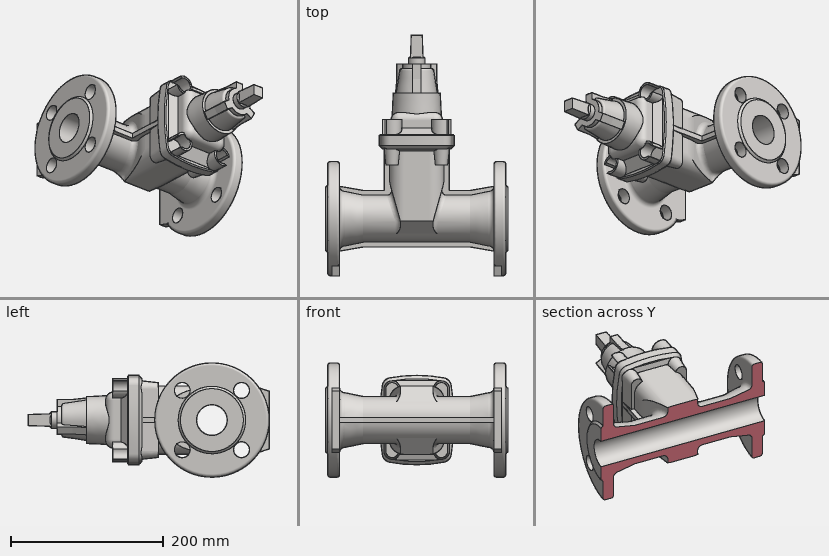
import cadquery as cq
import math


pick_margin = 0.3

overall_length = 240.0
bore_diameter = 39.8
pipe_radius = 31.0
hub_start = 69.8
hub_end = 94.5
hub_radius = 36.0
flange_diameter = 150.0
flange_radius = flange_diameter / 2
flange_inner_x = 101.0
flange_outer_x = 117.0
flange_edge_fillet = 3.8
hub_root_fillet = flange_inner_x - hub_end
raised_face_radius = 44.2
bolt_offset = 39.0
bolt_hole_diameter = 20.5

foot_bottom = 75.2
foot_half_width = 38.0
foot_shoulder_half_width = 42.5
foot_outer_x = 111.2

rib_thickness = 7.0
rib_height = 74.3
rib_half_height = rib_height / 2
rib_end_half_height = 42.7
rib_neck_half_width = 42.7

body_half_width = 36.0
body_half_depth = 45.0
body_flat_half_width = 16.7
body_corner_radius = body_half_width - body_flat_half_width
body_taper_top = 48.7
body_tip_y = -22.5
body_tip_half_width = 21.5
body_taper_blend = 47.5
body_tip_blend = 15.8
body_slope_start_y = -3.0
body_slope_depth = 20.5
body_root_fillet = 6.3

joint_bottom = 91.3
joint_top = 110.5
joint_half_width = 49.3
joint_half_depth = 58.8
joint_corner_x = 43.5
joint_corner_z = 53.7
joint_corner_fillet = 12.0
joint_lower_chamfer = 4.5
joint_upper_chamfer = 1.5
underside_drop = 2.5
underside_half_width = 27.0
underside_half_depth = 52.0

lug_x = 32.2
lug_bottom = 70.0
lug_bottom_width = 16.5
lug_bottom_length = 98.3
lug_widening = 2.37
web_half_depth = 41.7
boss_x = 32.5
boss_z = 41.7
boss_radius = 13.0
boss_top = 130.2
pocket_radius = 10.0
pocket_slot_width = 15.2
pocket_angle = 20.0

block_half_width = 34.0
block_half_depth = 37.0
block_top = 139.5
block_corner_fillet = 11.0
block_top_fillet = 10.7
skirt_top = 119.0
skirt_half_width = 43.5
skirt_half_depth = 53.0
neck_bottom_radius = 32.2
neck_top_radius = 31.0
neck_top = 164.5
cone_bottom_radius = 27.0
cone_top_radius = 22.0
cone_top = 197.0
cone_fillet = 3.2
collar_radius = 18.5
collar_top = 203.0

fin_count = 3
fin_width = 11.0
fin_radius = 27.2
fin_base_radius = 29.0
fin_kink_y = 182.5

stem_ring_radius = 11.0
stem_ring_tip_radius = 9.0
stem_chamfer_start = 210.5
stem_ring_top = 212.5
stem_top = 240.8
stem_bottom_side = 16.7
stem_top_side = 15.0


def level(y):
    """Workplane across the bonnet axis at height y; local axes are X and Z."""
    return cq.Workplane("XZ", origin=(0, y, 0))


def make_pipe():
    """Pipe with flared hubs, end flanges and raised faces, without the bore."""
    half_length = overall_length / 2
    face_chamfer = half_length - flange_outer_x
    half = (
        cq.Workplane("XY")
        .moveTo(0, 0)
        .lineTo(0, pipe_radius)
        .lineTo(hub_start, pipe_radius)
        .lineTo(hub_end, hub_radius)
        .radiusArc((flange_inner_x, hub_radius + hub_root_fillet), -hub_root_fillet)
        .lineTo(flange_inner_x, flange_radius)
        .lineTo(flange_outer_x, flange_radius)
        .lineTo(flange_outer_x, raised_face_radius)
        .lineTo(half_length, raised_face_radius - face_chamfer)
        .lineTo(half_length, 0)
        .close()
        .revolve(360, (0, 0, 0), (1, 0, 0))
    )
    rim = cq.selectors.RadiusNthSelector(-1)
    half = half.edges("%CIRCLE").edges(rim).fillet(flange_edge_fillet)
    return half.union(half.mirror("YZ"))


def make_foot():
    shoulder_y = -math.sqrt(flange_radius**2 - foot_shoulder_half_width**2)
    foot = (
        cq.Workplane("YZ", origin=(flange_inner_x, 0, 0))
        .polyline([
            (-raised_face_radius, -foot_shoulder_half_width),
            (shoulder_y, -foot_shoulder_half_width),
            (-foot_bottom, -foot_half_width),
            (-foot_bottom, foot_half_width),
            (shoulder_y, foot_shoulder_half_width),
            (-raised_face_radius, foot_shoulder_half_width),
        ])
        .close()
        .extrude(foot_outer_x - flange_inner_x)
    )
    return foot.union(foot.mirror("YZ"))


def make_rib():
    right = [
        (flange_inner_x, -rib_end_half_height),
        (flange_inner_x, rib_end_half_height),
        (hub_start, rib_half_height),
        (rib_neck_half_width, rib_half_height),
        (rib_neck_half_width, joint_bottom),
    ]
    left = [(-x, y) for x, y in reversed(right)]
    lower = [(-hub_start, -rib_half_height), (hub_start, -rib_half_height)]
    return cq.Workplane("XY").polyline(right + left + lower).close().extrude(rib_thickness / 2, both=True)


def make_body():
    """Wedge housing: a rounded section trimmed to its tapering outline and sloped tip."""
    length = joint_bottom - body_tip_y
    section = (
        level(body_tip_y)
        .rect(2 * body_half_width, 2 * body_half_depth)
        .extrude(-length)
        .edges("|Y")
        .fillet(body_corner_radius)
    )
    outline = (
        cq.Workplane("XY")
        .polyline([
            (-body_tip_half_width, body_tip_y),
            (body_tip_half_width, body_tip_y),
            (body_tip_half_width, body_slope_start_y),
            (body_half_width, body_taper_top),
            (body_half_width, joint_bottom),
            (-body_half_width, joint_bottom),
            (-body_half_width, body_taper_top),
            (-body_tip_half_width, body_slope_start_y),
        ])
        .close()
        .extrude(body_half_depth, both=True)
    )
    for bend_y, blend in ((body_taper_top, body_taper_blend), (body_slope_start_y, body_tip_blend)):
        bend = cq.selectors.BoxSelector(
            (-joint_half_width, bend_y - pick_margin, -joint_half_depth),
            (joint_half_width, bend_y + pick_margin, joint_half_depth),
        )
        outline = outline.edges("|Z").edges(bend).fillet(blend)
    profile = (
        cq.Workplane("YZ")
        .polyline([
            (body_tip_y, -body_slope_depth),
            (body_tip_y, body_slope_depth),
            (body_slope_start_y, body_half_depth),
            (joint_bottom, body_half_depth),
            (joint_bottom, -body_half_depth),
            (body_slope_start_y, -body_half_depth),
        ])
        .close()
        .extrude(body_half_width, both=True)
    )
    return section.intersect(outline).intersect(profile)


def make_housing():
    """Pipe and body joined, with fillets where the tapering walls meet the pipe."""
    housing = make_pipe().union(make_body())
    for side in (-1, 1):
        near, far = sorted((side * (body_tip_half_width - pick_margin), side * body_half_width))
        root = cq.selectors.BoxSelector(
            (near, body_tip_y, -pipe_radius),
            (far, pipe_radius + pick_margin, pipe_radius),
            boundingbox=True,
        )
        housing = housing.edges(root).fillet(body_root_fillet)
    return housing


def make_joint():
    """Bonnet flange: a plate with four bowed sides and rounded corners."""
    return (
        level(joint_bottom)
        .moveTo(joint_corner_x, joint_corner_z)
        .threePointArc((0, joint_half_depth), (-joint_corner_x, joint_corner_z))
        .threePointArc((-joint_half_width, 0), (-joint_corner_x, -joint_corner_z))
        .threePointArc((0, -joint_half_depth), (joint_corner_x, -joint_corner_z))
        .threePointArc((joint_half_width, 0), (joint_corner_x, joint_corner_z))
        .close()
        .extrude(-(joint_top - joint_bottom))
        .edges("|Y")
        .fillet(joint_corner_fillet)
        .faces("<Y")
        .chamfer(joint_lower_chamfer)
        .faces(">Y")
        .chamfer(joint_upper_chamfer)
    )


def make_underside():
    """Shallow wedge sloping from the joint down to the flat sides of the body."""
    low_y = joint_bottom - underside_drop
    return (
        cq.Workplane("YZ")
        .polyline([
            (joint_bottom, -underside_half_depth),
            (joint_bottom, underside_half_depth),
            (low_y, body_half_depth),
            (low_y, -body_half_depth),
        ])
        .close()
        .extrude(underside_half_width, both=True)
    )


def make_lugs():
    """Two drafted bars under the joint, each joining a pair of bolt positions and webbed to the body."""
    height = joint_bottom + joint_lower_chamfer - lug_bottom
    draft = math.degrees(math.atan(lug_widening / (joint_bottom - lug_bottom)))
    web = level(lug_bottom).rect(2 * lug_x, 2 * web_half_depth).extrude(-height)
    lugs = (
        level(lug_bottom)
        .pushPoints([(-lug_x, 0), (lug_x, 0)])
        .slot2D(lug_bottom_length, lug_bottom_width, 90)
        .extrude(-height, taper=-draft)
    )
    return lugs.union(web)


def make_boss(side_x, side_z):
    """Solid round boss above one bolt position."""
    height = boss_top - joint_top
    boss = level(joint_top).circle(boss_radius).extrude(-height)
    return boss.translate((side_x * boss_x, 0, side_z * boss_z))


def make_pocket(side_x, side_z):
    """Bolt head pocket in a boss, slotted outwards through the boss wall."""
    depth = boss_top - joint_top
    slot_length = 2 * boss_radius
    pocket = level(joint_top).circle(pocket_radius).extrude(-depth)
    slot = level(joint_top).center(slot_length / 2, 0).rect(slot_length, pocket_slot_width).extrude(-depth)
    turn = -pocket_angle if side_x == side_z else pocket_angle
    if side_x < 0:
        turn += 180
    pocket = pocket.union(slot).rotate((0, 0, 0), (0, 1, 0), turn)
    return pocket.translate((side_x * boss_x, 0, side_z * boss_z))


def make_bonnet_block():
    block = (
        level(joint_top)
        .rect(2 * block_half_width, 2 * block_half_depth)
        .extrude(-(block_top - joint_top))
        .edges("|Y")
        .fillet(block_corner_fillet)
        .faces(">Y")
        .edges()
        .fillet(block_top_fillet)
    )
    skirt = (
        level(joint_top)
        .rect(2 * skirt_half_width, 2 * skirt_half_depth)
        .workplane(offset=joint_top - skirt_top)
        .rect(2 * block_half_width, 2 * block_half_depth)
        .loft(ruled=True)
        .edges("not(|X)")
        .edges("not(|Z)")
        .fillet(block_corner_fillet)
    )
    return block.union(skirt)


def make_neck():
    """Turned neck, gland cone, collar and stem ring."""
    turned = (
        cq.Workplane("XY")
        .polyline([
            (0, joint_top),
            (neck_bottom_radius, joint_top),
            (neck_bottom_radius, block_top),
            (neck_top_radius, neck_top),
            (cone_bottom_radius, neck_top),
            (cone_top_radius, cone_top),
            (collar_radius, cone_top),
            (collar_radius, collar_top),
            (stem_ring_radius, collar_top),
            (stem_ring_radius, stem_chamfer_start),
            (stem_ring_tip_radius, stem_ring_top),
            (0, stem_ring_top),
        ])
        .close()
        .revolve(360, (0, 0, 0), (0, 1, 0))
    )
    cone_rim = cq.selectors.BoxSelector(
        (-cone_bottom_radius, cone_top - pick_margin, -cone_bottom_radius),
        (cone_bottom_radius, cone_top + pick_margin, cone_bottom_radius),
    )
    rim = cq.selectors.RadiusNthSelector(-1)
    return turned.edges("%CIRCLE").edges(cone_rim).edges(rim).fillet(cone_fillet)


def make_fins():
    fin = (
        cq.Workplane("YZ")
        .polyline([
            (neck_top, 0),
            (neck_top, fin_base_radius),
            (fin_kink_y, fin_radius),
            (collar_top, fin_radius),
            (collar_top, 0),
        ])
        .close()
        .extrude(fin_width / 2, both=True)
    )
    fins = cq.Workplane("XY")
    for index in range(fin_count):
        fins = fins.union(fin.rotate((0, 0, 0), (0, 1, 0), index * 360 / fin_count))
    return fins


def make_stem():
    return (
        level(stem_chamfer_start)
        .rect(stem_bottom_side, stem_bottom_side)
        .workplane(offset=stem_chamfer_start - stem_top)
        .rect(stem_top_side, stem_top_side)
        .loft(ruled=True)
    )


def make_flow_cuts():
    """Bore along the pipe and the bolt holes of both end flanges."""
    start = cq.Workplane("YZ", origin=(-overall_length / 2, 0, 0))
    bore = start.circle(bore_diameter / 2).extrude(overall_length)
    holes = (
        cq.Workplane("YZ", origin=(flange_inner_x, 0, 0))
        .rect(2 * bolt_offset, 2 * bolt_offset, forConstruction=True)
        .vertices()
        .circle(bolt_hole_diameter / 2)
        .extrude(flange_outer_x - flange_inner_x)
    )
    return bore.union(holes).union(holes.mirror("YZ"))


corners = [(1, 1), (1, -1), (-1, 1), (-1, -1)]

result = make_housing().union(make_foot())
result = result.union(make_rib()).union(make_joint()).union(make_underside()).union(make_lugs())
result = result.union(make_bonnet_block())
for corner in corners:
    result = result.union(make_boss(*corner))
for corner in corners:
    result = result.cut(make_pocket(*corner))
result = result.union(make_neck()).union(make_fins()).union(make_stem())
result = result.cut(make_flow_cuts())